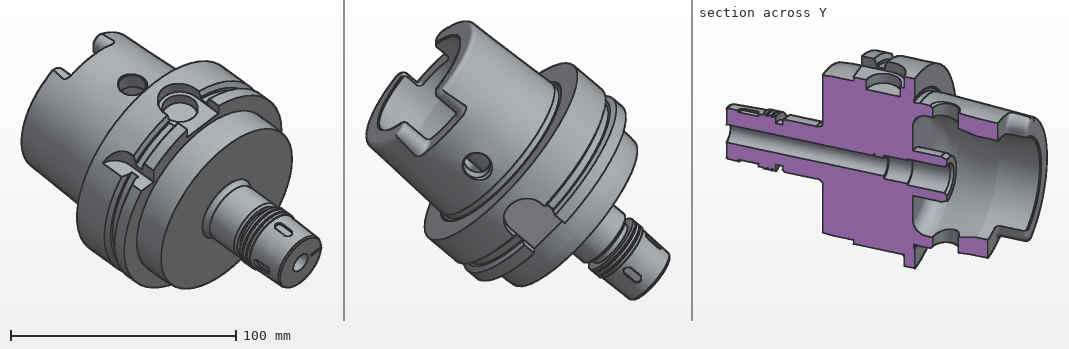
import cadquery as cq
import math


taper_end_x = 47.0
flange_front_x = 49.5
flange_back_x = 79.0
body_land_x = 88.8
body_back_x = 93.7
nose_start_x = 97.3
nose_end_x = 112.8
nut_start_x = 115.9
nut_ring_end_x = 122.0
nut_face_x = 139.6
overall_length = 140

taper_mouth_r = 35.5
taper_root_r = 37.8
flange_r = 50.0
body_r = 42.0
body_back_r = 41.6
nose_r = 14.0
neck_r = 22.0 / 2
nut_ring_r = 29.0 / 2
nut_cone_r = 14.0
nut_cone_end_r = 13.5
nut_face_r = 13.0
nose_chamfer = 1.1
nut_chamfer = 0.8

relief_r = 37.5
relief_x = 48.0
face_relief_r = 39.5
face_relief_floor_r = 38.8
face_relief_depth = 0.4

groove_start_x = 66.6
groove_end_x = 73.1
groove_floor_start_x = 67.9
groove_floor_end_x = 71.8
groove_r = 46.0
groove_wall_r = 47.3

blend_r = 3.5
blend_end_x = 96.6
blend_foot_r = 27.6 / 2

nut_groove_r = 27.6 / 2
nut_groove_width = 0.7
nut_groove_x = (117.3, 119.7)

bore_r = 53.0 / 2
bore_mouth_chamfer = 0.5
undercut_x = 20.3
undercut_r = 31.5
undercut_angle = 13
bore_floor_x = 50.4
bore_floor_r = 24.9

boss_r = 24.0 / 2
boss_tip_r = 22.0 / 2
boss_x = 34.2
boss_chamfer_length = 2.8
passage_mouth_r = 8.0
passage_thread_r = 6.7
passage_step_r = 6.0
passage_r = 4.6
passage_thread_end_x = 53.2
passage_step_end_x = 64.4

keyway_half_width = 9.8
keyway_inner_z = 12.6
keyway_round_r = 4.9
keyway_shoulder_z = 32.2
keyway_fillet = 2.0
lug_tip_fillet = 2.0
top_keyway_depth = 9.8
bottom_keyway_depth = 14.7

cross_hole_d = 12.0
cross_hole_x = 35.0
countersink_start_z = 36.4

flange_slot_width = 19.9
flange_slot_x = 64.7
flange_slot_floor = 44.0
chip_hole_d = 16.0
chip_hole_depth = 5.0
notch_floor_z = 31.2
notch_wall_y = -31.4

wrench_slot_start_x = 124.3
wrench_slot_end_x = 133.7
wrench_slot_width = 4.0
wrench_slot_floor = 12.6
wrench_slot_count = 4

tab_inner_y = 6.5
tab_outer_y = 12.9
tab_thickness = 0.3


def revolve_about_x(outline):
    return outline.close().revolve(360, (0, 0, 0), (1, 0, 0))


def ring(start_x, end_x, inner_r, outer_r):
    outer = cq.Workplane("YZ", origin=(start_x, 0, 0)).circle(outer_r)
    return outer.circle(inner_r).extrude(end_x - start_x)


def outer_body():
    blend_drop = math.sqrt(blend_r**2 - (blend_end_x - body_back_x)**2)
    blend_start = (body_back_x, blend_foot_r + blend_r - blend_drop)
    half_sweep = math.asin((blend_end_x - body_back_x) / blend_r) / 2
    blend_middle = (
        blend_end_x - blend_r * math.sin(half_sweep),
        blend_foot_r + blend_r * (1 - math.cos(half_sweep)),
    )
    outline = (
        cq.Workplane("XY")
        .moveTo(0, 0)
        .lineTo(0, taper_mouth_r)
        .lineTo(taper_end_x, taper_root_r)
        .lineTo(relief_x, relief_r)
        .lineTo(flange_front_x + face_relief_depth, relief_r)
        .lineTo(flange_front_x + face_relief_depth, face_relief_floor_r)
        .lineTo(flange_front_x, face_relief_r)
        .lineTo(flange_front_x, flange_r)
        .lineTo(groove_start_x, flange_r)
        .lineTo(groove_floor_start_x, groove_wall_r)
        .lineTo(groove_floor_start_x, groove_r)
        .lineTo(groove_floor_end_x, groove_r)
        .lineTo(groove_floor_end_x, groove_wall_r)
        .lineTo(groove_end_x, flange_r)
        .lineTo(flange_back_x, flange_r)
        .lineTo(flange_back_x, body_r)
        .lineTo(body_land_x, body_r)
        .lineTo(body_back_x, body_back_r)
        .lineTo(*blend_start)
        .threePointArc(blend_middle, (blend_end_x, blend_foot_r))
        .lineTo(nose_start_x, nose_r)
        .lineTo(nose_end_x - nose_chamfer, nose_r)
        .lineTo(nose_end_x, nose_r - nose_chamfer)
        .lineTo(nose_end_x, neck_r)
        .lineTo(nut_start_x, neck_r)
        .lineTo(nut_start_x, nut_ring_r)
        .lineTo(nut_ring_end_x, nut_ring_r)
        .lineTo(nut_ring_end_x, nut_cone_r)
        .lineTo(nut_face_x - nut_chamfer, nut_cone_end_r)
        .lineTo(nut_face_x, nut_face_r)
        .lineTo(nut_face_x, 0)
    )
    body = revolve_about_x(outline)
    for groove_x in nut_groove_x:
        body = body.cut(ring(groove_x, groove_x + nut_groove_width, nut_groove_r, flange_r))
    return body


def taper_bore():
    undercut_length = (undercut_r - bore_r) / math.tan(math.radians(undercut_angle))
    floor_fillet = undercut_r - bore_floor_r
    fillet_start_x = bore_floor_x - floor_fillet
    fillet_middle = (
        fillet_start_x + floor_fillet * math.sin(math.pi / 4),
        bore_floor_r + floor_fillet * math.cos(math.pi / 4),
    )
    outline = (
        cq.Workplane("XY")
        .moveTo(0, 0)
        .lineTo(0, bore_r + bore_mouth_chamfer)
        .lineTo(bore_mouth_chamfer, bore_r)
        .lineTo(undercut_x, bore_r)
        .lineTo(undercut_x + undercut_length, undercut_r)
        .lineTo(fillet_start_x, undercut_r)
        .threePointArc(fillet_middle, (bore_floor_x, bore_floor_r))
        .lineTo(bore_floor_x, boss_r)
        .lineTo(boss_x + boss_chamfer_length, boss_r)
        .lineTo(boss_x, boss_tip_r)
        .lineTo(boss_x, 0)
    )
    return revolve_about_x(outline)


def coolant_passage():
    outline = (
        cq.Workplane("XY")
        .moveTo(boss_x, 0)
        .lineTo(boss_x, passage_mouth_r)
        .lineTo(boss_x + passage_mouth_r - passage_thread_r, passage_thread_r)
        .lineTo(passage_thread_end_x, passage_thread_r)
        .lineTo(passage_thread_end_x, passage_step_r)
        .lineTo(passage_step_end_x, passage_step_r)
        .lineTo(passage_step_end_x, passage_r)
        .lineTo(nut_face_x, passage_r)
        .lineTo(nut_face_x, 0)
    )
    return revolve_about_x(outline)


def keyway_profile(start_x):
    round_z = keyway_shoulder_z - keyway_round_r
    shoulder_y = keyway_half_width + keyway_round_r
    arc_y = shoulder_y - keyway_round_r * math.cos(math.pi / 4)
    arc_z = round_z + keyway_round_r * math.sin(math.pi / 4)
    half_opening = flange_r / 2
    return (
        cq.Workplane("YZ", origin=(start_x, 0, 0))
        .moveTo(-keyway_half_width, keyway_inner_z)
        .lineTo(-keyway_half_width, round_z)
        .threePointArc((-arc_y, arc_z), (-shoulder_y, keyway_shoulder_z))
        .lineTo(-half_opening, keyway_shoulder_z)
        .lineTo(-half_opening, flange_r)
        .lineTo(half_opening, flange_r)
        .lineTo(half_opening, keyway_shoulder_z)
        .lineTo(shoulder_y, keyway_shoulder_z)
        .threePointArc((arc_y, arc_z), (keyway_half_width, round_z))
        .lineTo(keyway_half_width, keyway_inner_z)
        .close()
    )


def keyway(depth):
    return keyway_profile(0).extrude(depth).faces(">X").edges().fillet(keyway_fillet)


def cross_hole():
    plane = cq.Workplane("XY", origin=(cross_hole_x, 0, boss_r))
    hole = plane.circle(cross_hole_d / 2).extrude(taper_root_r - boss_r)
    countersink_depth = taper_root_r - countersink_start_z
    countersink = cq.Solid.makeCone(
        cross_hole_d / 2,
        cross_hole_d / 2 + countersink_depth,
        countersink_depth,
        pnt=cq.Vector(cross_hole_x, 0, countersink_start_z),
    )
    return hole.union(cq.Workplane(obj=countersink))


def flange_slot(center_y, floor_z):
    height = flange_r - floor_z
    radius = flange_slot_width / 2
    plane = cq.Workplane("XY", origin=(flange_slot_x, center_y, floor_z))
    round_end = plane.circle(radius).extrude(height)
    length = flange_back_x - flange_slot_x
    channel = plane.center(length / 2, 0).rect(length, flange_slot_width).extrude(height)
    return round_end.union(channel)


def chip_hole():
    plane = cq.Workplane("XY", origin=(flange_slot_x, 0, flange_slot_floor - chip_hole_depth))
    return plane.circle(chip_hole_d / 2).extrude(flange_r)


def wrench_slot(angle):
    center_x = (wrench_slot_start_x + wrench_slot_end_x) / 2
    length = wrench_slot_end_x - wrench_slot_start_x
    plane = cq.Workplane("XY", origin=(center_x, 0, wrench_slot_floor))
    slot = plane.slot2D(length, wrench_slot_width).extrude(nut_ring_r)
    return slot.rotate((0, 0, 0), (1, 0, 0), angle)


def opposite(shape):
    return shape.rotate((0, 0, 0), (1, 0, 0), 180)


def index_tab():
    length = overall_length - nut_face_x
    size_y = tab_outer_y - tab_inner_y
    tab = cq.Workplane("XY").box(2 * length, size_y, tab_thickness)
    return tab.translate((nut_face_x, (tab_inner_y + tab_outer_y) / 2, 0))


result = outer_body().cut(keyway(top_keyway_depth)).cut(opposite(keyway(bottom_keyway_depth)))
result = result.faces("<X").edges().fillet(lug_tip_fillet)

result = result.cut(taper_bore()).cut(coolant_passage())
result = result.cut(cross_hole()).cut(opposite(cross_hole()))

drive_slot = flange_slot(0, flange_slot_floor)
result = result.cut(drive_slot).cut(opposite(drive_slot))
result = result.cut(flange_slot(notch_wall_y - flange_slot_width / 2, notch_floor_z))
result = result.cut(chip_hole())

for index in range(wrench_slot_count):
    result = result.cut(wrench_slot(index * 360 / wrench_slot_count))
result = result.union(index_tab())